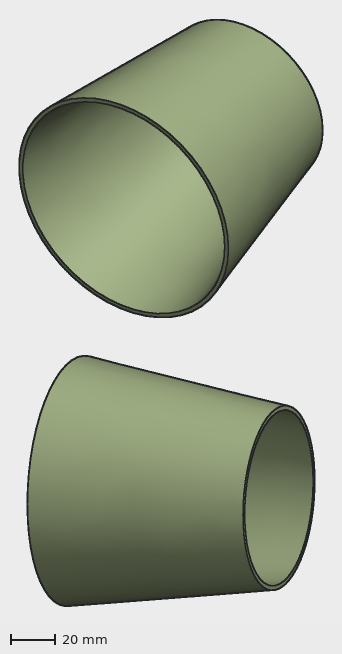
import cadquery as cq

large_outer_diameter = 114.3
small_outer_diameter = 84.2
length = 100.0
wall = 2.1

large_radius = large_outer_diameter / 2
small_radius = small_outer_diameter / 2

wall_section = (
    cq.Workplane("XY")
    .moveTo(large_radius - wall, 0)
    .lineTo(large_radius, 0)
    .lineTo(small_radius, length)
    .lineTo(small_radius - wall, length)
    .close()
)

result = wall_section.revolve(360, (0, 0, 0), (0, 1, 0))